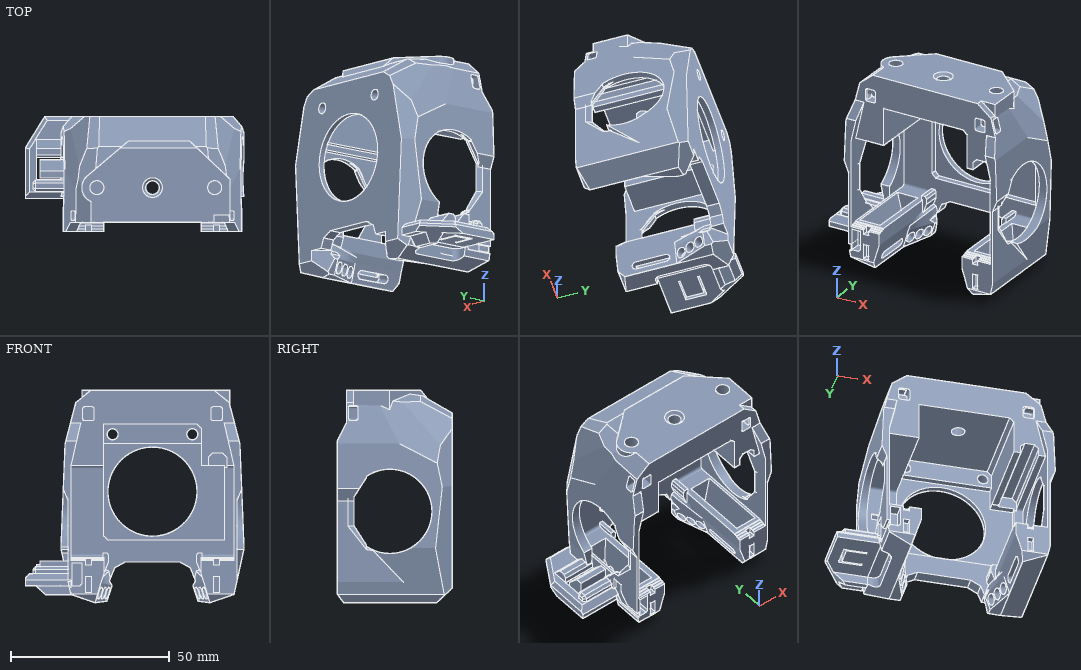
import cadquery as cq
import math

DEPTH = 36.3
HEIGHT = 67.0
OVERSIZE = 137.9
INSIDE_POINT = cq.Vector(0, 17.25, 31)

BACK_WALL_Y = 32.2
FRONT_PLATE_Y = 2.9
INNER_HALF_WIDTH = 25.65
FLOOR_Z = 14.2
SIDE_CEILING_Z = 43.3
ROOM_FILLET = 1.1
BAY_HALF_WIDTH = 15.4
BAY_CEILING_Z = 56.3
BAY_CORNER_CHAMFER = 1.4

FAN_Z = 35.0
FAN_BORE = 28.0
FAN_SEAT_DEPTH = 2.1
FAN_SEAT_RIGHT_X = 22.75
FAN_SEAT_BOTTOM_Z = 19.7
FAN_SEAT_TOP_Z = 50.2
FAN_SCREW_DIAMETER = 3.4
FAN_SCREW_X = 12.55
FAN_SCREW_Z = 53.1

TOP_HOLE_Y = 13.85
CENTER_HOLE_DIAMETER = 4.2
COUNTERSINK_DIAMETER = 6.2
SIDE_HOLE_DIAMETER = 4.4
SIDE_HOLE_DEPTH = 6.9
LEFT_HOLE_X = -17.5
RIGHT_HOLE_X = 19.6
PLATE_UNDERSIDE_Z = 60.7
EAR_RADIUS = 4.75
EAR_TANGENT_ANGLE = 130

TIE_SLOT_BACK_Y = 6.55
TIE_SLOT_FILLET = 0.7

PORT_Y = 16.6
PORT_Z = 28.8
PORT_RADIUS = 13.25
PORT_FLAT_Y = 5.4
PORT_FLAT_HALF = 4.55
PANEL_OUTER_X = 26.55
PANEL_EDGE_Y = 3.4
RAMP_LOW_Z = 32.05
RAMP_HIGH_Z = 37.9

LEG_INNER_X = 15.3
NOZZLE_BEND_Y = 19.3
NOZZLE_END_Y = 29.65
FLARE_TOP_Z = 7.9
DUCT_BOTTOM_Z = 2.75
VENT_DEPTH = 4.5
VENT_PITCH = 3.45
FRONT_SLOT_DEPTH = 2.1
STEP_COUNT = 3
STEP_LENGTH = 0.9
STEP_HEIGHT = 0.3

TRAY_LEFT_X = -40.05
TRAY_FRONT_Y = 10.4
TRAY_BOTTOM_Z = 5.4
TRAY_TOP_Z = 9.2
TRAY_BEVEL = 1.3
TRAY_CORNER_X = -33.9
TRAY_CORNER_Y = 26.4
KEEL_BOTTOM_Z = 2.5
KEEL_FRONT_Y = 28.75
POCKET_RADIUS = 2.2


def box(x0, x1, y0, y1, z0, z1):
    """Axis-aligned box between two corners."""
    return cq.Workplane("XY").box(x1 - x0, y1 - y0, z1 - z0, centered=False).translate((x0, y0, z0))


def prism_along_y(points, y0, y1):
    """Prism with an (X, Z) outline from y0 to y1."""
    plane = cq.Plane(origin=(0, y0, 0), xDir=(1, 0, 0), normal=(0, -1, 0))
    return cq.Workplane(plane).polyline(points).close().extrude(y0 - y1)


def prism_along_x(points, x0, x1):
    """Prism with a (Y, Z) outline from x0 to x1."""
    return cq.Workplane("YZ", origin=(x0, 0, 0)).polyline(points).close().extrude(x1 - x0)


def cylinder_along_y(x, z, diameter, y0, y1):
    plane = cq.Plane(origin=(x, y0, z), xDir=(1, 0, 0), normal=(0, 1, 0))
    return cq.Workplane(plane).circle(diameter / 2).extrude(y1 - y0)


def mirror_outline(right_half):
    """Closed outline from its right half, listed from one end on the axis side to the other."""
    return right_half + [(-x, z) for x, z in reversed(right_half)]


def on_side(point, side):
    return cq.Vector(point[0] * side, point[1], point[2])


def outside_of_plane(a, b, c):
    """Everything outside the plane through three points, seen from inside the housing."""
    normal = (b - a).cross(c - a).normalized()
    if normal.dot(INSIDE_POINT - a) > 0:
        normal = normal * -1
    plane = cq.Plane(origin=a.toTuple(), xDir=(b - a).toTuple(), normal=normal.toTuple())
    return cq.Workplane(plane).rect(2 * OVERSIZE, 2 * OVERSIZE).extrude(OVERSIZE)


def make_envelope():
    """Faceted outer shape: front outline crossed with side outline, then planar facets."""
    front_outline = mirror_outline([
        (8.6, 12.8), (11.85, 11), (13.5, 6.9), (12.7, 5.4), (14.35, 0.5), (18.05, 0), (25.7, 2.6),
        (28.9, 17.2), (27.6, 50.05), (24.2, 63.1), (19.3, HEIGHT),
    ])
    side_outline = [
        (2.1, 0), (31.4, 0), (DEPTH, 4.7), (DEPTH, 59.8), (26.9, 65.2), (13.8, HEIGHT),
        (FRONT_PLATE_Y, HEIGHT), (FRONT_PLATE_Y, 56.7), (0, 51), (0, 2.8),
    ]
    envelope = prism_along_y(front_outline, 0, DEPTH)
    envelope = envelope.intersect(prism_along_x(side_outline, -OVERSIZE, OVERSIZE))

    wall_corner = (27.8, 17.65, 50.4)
    wall_back = (27.8, 31.7, 43.5)
    shoulder_back = (25.5, 32.75, 49.9)
    shoulder_top = (22.95, 20.7, 63.2)
    shoulder_front = (24.05, 13.5, 63.2)
    back_edge_low = (21.5, DEPTH, 54.3)
    back_edge_mid = (19.7, DEPTH, 58.05)
    back_edge_top = (16.7, DEPTH, 59.8)
    roof_corner = (20.3, 26.2, 63.7)
    roof_edge = (17.3, 26.9, 65.2)
    facets = [
        (wall_corner, shoulder_front, shoulder_top),
        (wall_corner, shoulder_front, (24.2, FRONT_PLATE_Y, 63.1)),
        (shoulder_back, shoulder_top, back_edge_mid),
        (back_edge_mid, roof_corner, back_edge_top),
        (shoulder_top, roof_corner, roof_edge),
        (shoulder_back, back_edge_low, wall_back),
        ((28.25, 32.9, 35.1), (25.3, DEPTH, 35.85), (28.9, 31, 17.1)),
    ]
    for side in (-1, 1):
        for facet in facets:
            envelope = envelope.cut(outside_of_plane(*[on_side(point, side) for point in facet]))
    return envelope


def make_mounting_plate():
    """Flat top plate with a rounded ear around the left hole and a sloped back edge."""
    ear_angle = math.radians(EAR_TANGENT_ANGLE)
    ear_tangent = (
        LEFT_HOLE_X + EAR_RADIUS * math.cos(ear_angle),
        TOP_HOLE_Y + EAR_RADIUS * math.sin(ear_angle),
    )
    plate = (
        cq.Workplane("XY", origin=(0, 0, PLATE_UNDERSIDE_Z))
        .moveTo(-18.9, FRONT_PLATE_Y)
        .lineTo(19.3, FRONT_PLATE_Y)
        .lineTo(19.3, 5.2)
        .lineTo(24.4, 5.2)
        .lineTo(24.4, 16.55)
        .lineTo(11.7, 28.55)
        .lineTo(-7.6, 28.55)
        .lineTo(*ear_tangent)
        .threePointArc((LEFT_HOLE_X - EAR_RADIUS, TOP_HOLE_Y), (-18.9, TOP_HOLE_Y - 4.55))
        .close()
        .extrude(HEIGHT - PLATE_UNDERSIDE_Z)
    )
    back_slope = prism_along_x([(26.35, HEIGHT), (28.55, 64.25), (41.35, 64.25), (41.35, HEIGHT)], -OVERSIZE, OVERSIZE)
    return plate.cut(back_slope)


def make_interior():
    """Open space between the side walls, the taller middle bay and the relief in front of both."""
    room = box(-INNER_HALF_WIDTH, INNER_HALF_WIDTH, -0.7, BACK_WALL_Y, FLOOR_Z, SIDE_CEILING_Z)
    room = room.edges("|X and >Y").fillet(ROOM_FILLET)
    bay = box(-BAY_HALF_WIDTH, BAY_HALF_WIDTH, -0.7, BACK_WALL_Y, FLOOR_Z, BAY_CEILING_Z)
    bay = bay.edges("|Y and >X and >Z").chamfer(BAY_CORNER_CHAMFER)
    front_relief = prism_along_y(
        mirror_outline([(INNER_HALF_WIDTH, FLOOR_Z), (INNER_HALF_WIDTH, SIDE_CEILING_Z), (22.55, 56.8)]),
        -0.7, FRONT_PLATE_Y,
    )
    return room.union(bay).union(front_relief)


def make_leg_gap():
    """Space between the legs; it narrows behind the bend, where the nozzles turn inward."""
    top = (LEG_INNER_X, FLOOR_Z + 0.7)
    straight = mirror_outline([top, (LEG_INNER_X, 9.2), (15.65, 8.1), (16.3, 6.2), (17.9, 0.5), (18.05, -0.7)])
    angled = mirror_outline([top, (LEG_INNER_X, 10.7), (13.8, 10.0), (12.7, 5.4), (14.35, 0.5), (14.35, -0.7)])
    plane = cq.Plane(origin=(0, NOZZLE_BEND_Y, 0), xDir=(-1, 0, 0), normal=(0, 1, 0))
    bend = (
        cq.Workplane(plane).polyline(straight).close()
        .workplane(offset=NOZZLE_END_Y - NOZZLE_BEND_Y).polyline(angled).close()
        .loft(ruled=True)
    )
    front = prism_along_y(straight, -0.7, NOZZLE_BEND_Y)
    back = prism_along_y(angled, NOZZLE_END_Y, BACK_WALL_Y)
    return front.union(bend).union(back)


def make_fan_opening():
    """Recessed seat, through bore and two screw holes in the back wall."""
    seat = box(
        -BAY_HALF_WIDTH, FAN_SEAT_RIGHT_X, BACK_WALL_Y - 0.7, BACK_WALL_Y + FAN_SEAT_DEPTH,
        FAN_SEAT_BOTTOM_Z, FAN_SEAT_TOP_Z,
    )
    seat = seat.edges("|Y and <X and <Z").chamfer(BAY_CORNER_CHAMFER)
    seat = seat.cut(box(BAY_HALF_WIDTH, OVERSIZE, 0, DEPTH, SIDE_CEILING_Z, HEIGHT))
    opening = seat.union(cylinder_along_y(0, FAN_Z, FAN_BORE, BACK_WALL_Y - 0.7, DEPTH + 0.7))
    for x in (-FAN_SCREW_X, FAN_SCREW_X):
        screw_hole = cylinder_along_y(x, FAN_SCREW_Z, FAN_SCREW_DIAMETER, BACK_WALL_Y - 0.7, DEPTH + 0.7)
        opening = opening.union(screw_hole)
    return opening


def make_cable_channel():
    """Channel with bevelled upper corners in the underside of the right-hand block."""
    return prism_along_y(
        [
            (17.6, SIDE_CEILING_Z - 0.7), (17.6, 45.85), (18.95, 47.2),
            (22.05, 47.2), (23.45, 45.85), (23.45, SIDE_CEILING_Z - 0.7),
        ],
        0, BACK_WALL_Y,
    )


def make_side_port(side):
    """Round opening with a flat front edge through one side wall."""
    x0, x1 = sorted((side * 24.8, side * 34.5))
    disc = cq.Workplane("YZ", origin=(x0, 0, 0)).center(PORT_Y, PORT_Z).circle(PORT_RADIUS).extrude(x1 - x0)
    flat_front = prism_along_x(
        [(y, PORT_Z + z) for y, z in (
            (PORT_FLAT_Y, -PORT_FLAT_HALF), (9.3, -10.7), (9.3, -20.7), (41.35, -20.7),
            (41.35, 20.7), (9.3, 20.7), (9.3, 10.7), (PORT_FLAT_Y, PORT_FLAT_HALF))],
        x0, x1,
    )
    return disc.intersect(flat_front)


def make_port_bevel(side):
    """Bevel from the outer face of the thinned wall down to the front edge of the round opening."""
    def section(flat_y, corner_y, corner_z):
        upper = [(flat_y, PORT_FLAT_HALF), (corner_y, corner_z), (PORT_Y, PORT_RADIUS)]
        points = upper + [(y, -z) for y, z in reversed(upper)]
        return [(y, PORT_Z + z) for y, z in points]

    return (
        cq.Workplane("YZ", origin=(side * INNER_HALF_WIDTH, 0, 0))
        .polyline(section(PORT_FLAT_Y, 9.3, 10.7)).close()
        .workplane(offset=side * (PANEL_OUTER_X - INNER_HALF_WIDTH))
        .polyline(section(PANEL_EDGE_Y, 9.3, 12.05)).close()
        .loft(ruled=True)
    )


def make_panel_relief(side):
    """Material taken off the outer face of a side wall in front of its round opening."""
    x0, x1 = sorted((side * PANEL_OUTER_X, side * 34.5))
    relief = prism_along_x(
        [(-0.7, RAMP_LOW_Z), (PORT_Y, RAMP_LOW_Z), (PORT_Y, 15.85), (10.7, 17.2), (24.8, 2.4), (-0.7, 2.4)],
        x0, x1,
    )
    ramp = prism_along_y(
        [
            (side * PANEL_OUTER_X, RAMP_LOW_Z - 0.35), (side * PANEL_OUTER_X, RAMP_LOW_Z),
            (side * 28.95, RAMP_HIGH_Z), (side * 28.95, RAMP_LOW_Z - 0.35),
        ],
        -0.7, PORT_Y - 5.5,
    )
    return relief.union(ramp)


def make_tie_slot(side):
    """Rounded pocket in the front face that turns out through the side face."""
    front_pocket = box(18.4, 22.0, 0, TIE_SLOT_BACK_Y, 57.35, 61.8).edges("|Y").fillet(TIE_SLOT_FILLET)
    side_pocket = box(19.3, 31, 3.6, TIE_SLOT_BACK_Y, 57.5, 62.2).edges("|X").fillet(TIE_SLOT_FILLET)
    slot = front_pocket.union(side_pocket)
    return slot if side > 0 else slot.mirror("YZ")


def make_top_holes():
    center = cq.Workplane("XY", origin=(0, TOP_HOLE_Y, HEIGHT)).circle(CENTER_HOLE_DIAMETER / 2)
    center = center.extrude(BAY_CEILING_Z - HEIGHT - 0.7)
    cone_depth = (COUNTERSINK_DIAMETER - CENTER_HOLE_DIAMETER) / 2
    cone = (
        cq.Workplane("XY", origin=(0, TOP_HOLE_Y, HEIGHT)).circle(COUNTERSINK_DIAMETER / 2)
        .workplane(offset=-cone_depth).circle(CENTER_HOLE_DIAMETER / 2).loft()
    )
    sides = (
        cq.Workplane("XY", origin=(0, TOP_HOLE_Y, HEIGHT))
        .pushPoints([(LEFT_HOLE_X, 0), (RIGHT_HOLE_X, 0)])
        .circle(SIDE_HOLE_DIAMETER / 2).extrude(-SIDE_HOLE_DEPTH)
    )
    return center.union(cone).union(sides)


def make_leg_tab():
    """Small upright tab beside the back of the right leg."""
    return prism_along_y(
        [(15.6, 8.6), (15.6, 15.7), (14.3, 15.7), (13.8, 14.8), (13.8, 13.1), (LEG_INNER_X, 9.2)],
        26.35, BACK_WALL_Y + 0.35,
    )


def make_nozzle_flare():
    """Material taken off behind the angled nozzles, so the leg gap flares towards the back."""
    return (
        cq.Workplane("XY", origin=(0, 0, -0.7))
        .polyline([(12.4, 30.7), (18.3, DEPTH + 0.7), (-18.3, DEPTH + 0.7), (-12.4, 30.7)]).close()
        .extrude(FLARE_TOP_Z + 0.7)
    )


def make_leg_cuts():
    """Air duct, outlet vents, front slots and front steps of the right leg."""
    duct = (
        cq.Workplane("XY", origin=(21.1, 15.5, FLOOR_Z)).rect(7.45, 22.75)
        .workplane(offset=DUCT_BOTTOM_Z - FLOOR_Z).center(-1.1, 0).rect(1.4, 19.3).loft(ruled=True)
    )
    front_plane = cq.Plane(origin=(17.1, 11, 3.2), xDir=(0, 1, 0), normal=(0.96, 0, 0.28))
    front_vent = cq.Workplane(front_plane).workplane(offset=-1.4).slot2D(12.4, 2.75).extrude(VENT_DEPTH + 1.4)
    angled_plane = cq.Plane(origin=(15.3, 24.5, 3.0), xDir=(-0.34, 0.94, 0), normal=(0.9, 0.33, 0.29))
    angled_vents = (
        cq.Workplane(angled_plane).workplane(offset=-1.4).rarray(VENT_PITCH, 0.7, 3, 1).slot2D(3.8, 2.9, 90)
        .extrude(VENT_DEPTH + 1.4)
    )
    cuts = duct.union(front_vent).union(angled_vents)
    for z0, z1 in ((3.3, 8.3), (11.85, FLOOR_Z + 0.7)):
        cuts = cuts.union(box(19.15, 21.1, -0.7, FRONT_SLOT_DEPTH, z0, z1))
    for step in range(STEP_COUNT):
        step_y = STEP_LENGTH * (STEP_COUNT - step)
        step_z = FLOOR_Z - STEP_HEIGHT * (step + 1)
        cuts = cuts.union(box(LEG_INNER_X - 0.7, INNER_HALF_WIDTH, -0.7, step_y, step_z, FLOOR_Z + 0.7))
    return cuts


def make_tray_clearance():
    """Room for the tray: side window above it, slot in the leg front,
    relief under the wall panel and a rounded pocket below the plate.
    """
    window = prism_along_x(
        [(23.5, TRAY_BOTTOM_Z), (23.5, 17.9), (10.2, 17.9), (16.1, 10.95), (16.1, TRAY_TOP_Z),
         (10.7, TRAY_TOP_Z), (10.7, TRAY_BOTTOM_Z)],
        -34.5, -INNER_HALF_WIDTH,
    )
    leg_slot = prism_along_y(
        [(-25.3, TRAY_BOTTOM_Z), (-22.9, TRAY_BOTTOM_Z), (-22.2, 6.1), (-22.2, 12.55), (-25.3, 12.55)], -0.7, 3.8)
    panel_relief = prism_along_x(
        [
            (-0.7, 4.9), (8.95, 4.9), (11.6, 8.3), (11.6, 13.8),
            (8.0, 13.8), (8.0, 10.7), (4.8, 7.2), (-0.7, 7.2),
        ],
        -34.5, -INNER_HALF_WIDTH,
    )
    under_pocket = box(-34.5, -22.05, TRAY_FRONT_Y, KEEL_FRONT_Y, 1.25, TRAY_BOTTOM_Z)
    under_pocket = under_pocket.edges("|Z and >X").fillet(POCKET_RADIUS)
    return window.union(leg_slot).union(panel_relief).union(under_pocket)


def make_housing(tray):
    housing = make_envelope().union(make_mounting_plate())
    housing = housing.cut(make_interior()).cut(make_leg_gap()).cut(make_nozzle_flare())
    housing = housing.cut(make_fan_opening()).cut(make_cable_channel()).cut(make_top_holes())
    tab = make_leg_tab()
    leg_cuts = make_leg_cuts()
    housing = housing.union(tab).union(tab.mirror("YZ"))
    housing = housing.cut(leg_cuts).cut(leg_cuts.mirror("YZ"))
    for side in (-1, 1):
        housing = housing.cut(make_side_port(side)).cut(make_port_bevel(side))
        housing = housing.cut(make_panel_relief(side)).cut(make_tie_slot(side))
    return housing.cut(make_tray_clearance()).cut(tray)


def make_tray():
    """Side tray: bevelled plate with a keel below its back part and three cross blocks on top."""
    right_x = -INNER_HALF_WIDTH
    plate = (
        cq.Workplane("XY", origin=(0, 0, TRAY_BOTTOM_Z))
        .polyline([
            (right_x, TRAY_FRONT_Y), (TRAY_LEFT_X, TRAY_FRONT_Y), (TRAY_LEFT_X, TRAY_CORNER_Y),
            (TRAY_CORNER_X, DEPTH), (right_x, DEPTH),
        ])
        .close().extrude(TRAY_TOP_Z - TRAY_BOTTOM_Z)
    )
    plate = plate.faces(">Z").edges("not >X").edges("not <Y").chamfer(TRAY_BEVEL)
    front_bevel = prism_along_x(
        [(TRAY_FRONT_Y - 0.7, 6.55), (TRAY_FRONT_Y, 7.2), (12.4, TRAY_TOP_Z), (12.4, 13.8), (TRAY_FRONT_Y - 0.7, 13.8)],
        -OVERSIZE, 0)
    plate = plate.cut(front_bevel)

    keel = prism_along_x(
        [
            (KEEL_FRONT_Y, KEEL_BOTTOM_Z), (30.7, KEEL_BOTTOM_Z),
            (33.5, TRAY_BOTTOM_Z), (KEEL_FRONT_Y, TRAY_BOTTOM_Z),
        ],
        -36.55, right_x,
    )
    under_bevel = outside_of_plane(
        cq.Vector(TRAY_LEFT_X, TRAY_CORNER_Y, 7.0),
        cq.Vector(TRAY_CORNER_X, DEPTH, 7.0),
        cq.Vector(-33.65, KEEL_FRONT_Y, KEEL_BOTTOM_Z),
    )
    base = plate.union(keel).cut(under_bevel)

    slot = box(-36.5, -28.95, 16.4, 23.3, 0, 13.8)
    back_block = prism_along_x(
        [(23.4, 8.3), (23.4, 11), (24.2, 12.1), (26.2, 12.1), (28.95, 9.2), (28.95, 8.3)], -36.5, right_x)
    middle_block = prism_along_x(
        [(16.9, TRAY_BOTTOM_Z), (16.9, 13.25), (19.0, 13.25), (22.7, 9.2), (22.7, TRAY_BOTTOM_Z)],
        -35.5, right_x,
    )
    front_block = prism_along_x(
        [(12.6, 8.3), (12.6, 10.5), (13.5, 11.4), (15.4, 11.4), (16.3, 10.5), (16.3, 8.3)], -37.65, right_x)
    front_block = front_block.faces("<X").chamfer(0.8)
    return base.cut(slot).union(back_block).union(middle_block).union(front_block)


tray = make_tray()
housing = make_housing(tray)
result = cq.Compound.makeCompound([housing.val(), tray.val()])